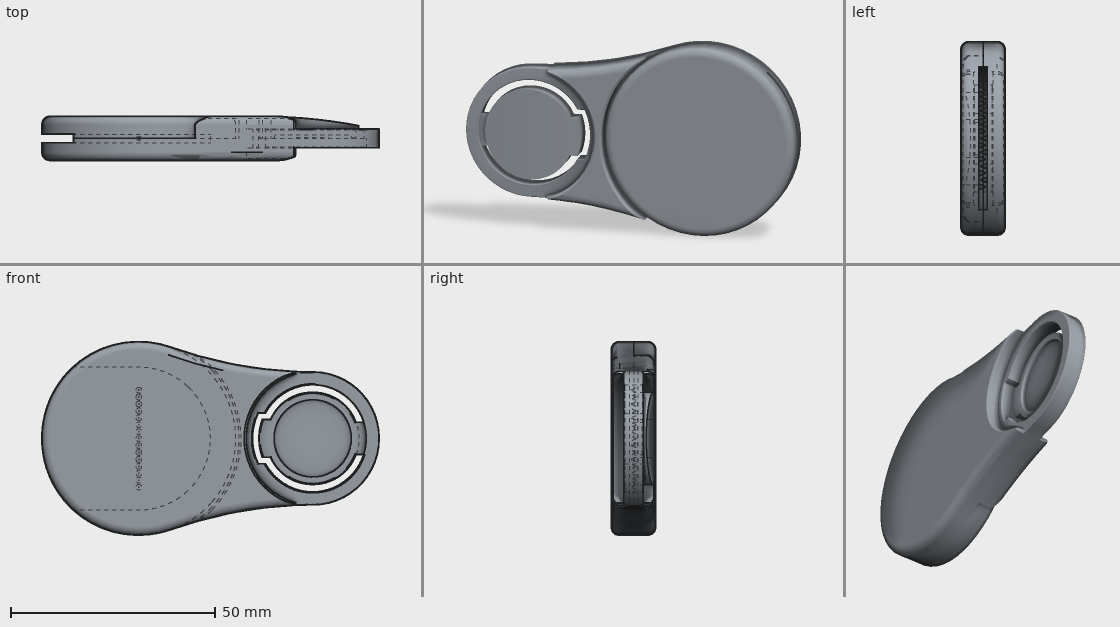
import cadquery as cq
import math


TOTAL_LENGTH = 82.53
THICKNESS = 10.83
HEAD_RADIUS = 47.36 / 2
RING_RADIUS = 16.28
EDGE_FILLET = 2.0
HALF_THICK = THICKNESS / 2
RING_X = TOTAL_LENGTH - HEAD_RADIUS - RING_RADIUS

FLANK_RADIUS = (RING_X**2 + RING_RADIUS**2 - HEAD_RADIUS**2) / (2 * (HEAD_RADIUS - RING_RADIUS))
FLANK_Z = RING_RADIUS + FLANK_RADIUS
FLANK_ANGLE = math.atan2(FLANK_Z, RING_X)

POCKET_RADIUS = 24.5

SLOT_RADIUS = 17.5
SLOT_WIDTH = 2.1
TOOTH_PITCH = 3.39
TOOTH_BASE_RADIUS = 0.7
TOOTH_TIP_RADIUS = 0.1
TOOTH_HEIGHT = 1.55
COVER_TEETH = 8
BODY_TEETH = COVER_TEETH - 1

RING_HALF_THICK = 2.35
SMALL_FILLET = 0.25
SHOULDER_RADIUS = RING_RADIUS
SHOULDER_TIP_X = 38.4
RIM_CHAMFER = 0.5
RING_HOLE_RADIUS = 13.1
NOTCH_RADIUS = 14.7
NOTCH_HALF_WIDTH = 6.2

BUTTON_RADIUS = 11.3
BUTTON_FRONT_Y = 0.0
CATCH_RADIUS = 13.15
CATCH_HALF_WIDTH = 4.66
HINGE_HALF_WIDTH = 4.0
HINGE_THICK = 2.0
BUTTON_BACK_RADIUS = 131.0
DISH_RADIUS = 9.45
DISH_DEPTH = 0.9


def plane_at(y):
    """Sketch plane facing +Y whose local axes are (X, -Z)."""
    return cq.Workplane(cq.Plane(origin=(0, y, 0), xDir=(1, 0, 0), normal=(0, 1, 0)))


def disc(x, radius, y_from, y_to):
    return plane_at(y_from).center(x, 0).circle(radius).extrude(y_to - y_from)


def block(x_from, x_to, half_width, y_from, y_to):
    size = (x_to - x_from, y_to - y_from, 2 * half_width)
    return cq.Workplane("XY").box(*size, centered=(False, False, True)).translate((x_from, y_from, 0))


def fob_blank():
    """Full pear-shaped outline with both faces rounded over."""
    head_end = (HEAD_RADIUS * math.cos(FLANK_ANGLE), HEAD_RADIUS * math.sin(FLANK_ANGLE))
    mid_angle = (FLANK_ANGLE + math.pi / 2) / 2
    flank_mid = (RING_X - FLANK_RADIUS * math.cos(mid_angle), FLANK_Z - FLANK_RADIUS * math.sin(mid_angle))
    return (
        plane_at(-HALF_THICK)
        .moveTo(RING_X, -RING_RADIUS)
        .threePointArc((RING_X + RING_RADIUS, 0), (RING_X, RING_RADIUS))
        .threePointArc(flank_mid, head_end)
        .threePointArc((-HEAD_RADIUS, 0), (head_end[0], -head_end[1]))
        .threePointArc((flank_mid[0], -flank_mid[1]), (RING_X, -RING_RADIUS))
        .close()
        .extrude(THICKNESS)
        .faces("<Y or >Y").edges().fillet(EDGE_FILLET)
    )


def cut_cover_pocket(blank):
    """Clear the back half of the head for the cover and break the outer rim of the pocket wall."""
    pocketed = blank.cut(disc(0, POCKET_RADIUS, 0, HALF_THICK))

    def on_pocket_wall(point):
        return math.isclose(math.hypot(point.x, point.z), POCKET_RADIUS, rel_tol=1e-4)

    def on_outer_rim(edge):
        above_floor = edge.Center().y > RIM_CHAMFER
        return above_floor and on_pocket_wall(edge.startPoint()) and on_pocket_wall(edge.endPoint())

    return pocketed.edges().filter(on_outer_rim).chamfer(RIM_CHAMFER)


def chamfer_shoulders(stepped):
    """Break the edges where the shoulder walls meet the flat faces, the round-over and the flanks."""
    tip_z = FLANK_Z - math.sqrt(FLANK_RADIUS**2 - (RING_X - SHOULDER_TIP_X) ** 2)
    tip_y = (RING_HALF_THICK + HALF_THICK - EDGE_FILLET) / 2
    rim = stepped.edges("%BSPLINE")
    for side in (-1, 1):
        wall_top = (RING_X - SHOULDER_RADIUS, side * HALF_THICK, 0)
        rim = rim.add(stepped.edges(cq.selectors.NearestToPointSelector(wall_top)))
        for tip in (-tip_z, tip_z):
            corner = (SHOULDER_TIP_X, side * tip_y, tip)
            rim = rim.add(stepped.edges(cq.selectors.NearestToPointSelector(corner)))
    return rim.chamfer(RIM_CHAMFER)


def cut_shoulders(rounded):
    """Step both faces down to the ring, leaving blunt, chamfered shoulder edges."""
    for y_from, y_to in ((-HALF_THICK, -RING_HALF_THICK), (RING_HALF_THICK, HALF_THICK)):
        step = disc(RING_X, SHOULDER_RADIUS, y_from, y_to)
        step = step.union(block(SHOULDER_TIP_X, TOTAL_LENGTH, HEAD_RADIUS, y_from, y_to))
        rounded = rounded.cut(step)
    return chamfer_shoulders(rounded)


def ring_hole():
    """Through hole with a wider notch facing the head."""
    hole = disc(RING_X, RING_HOLE_RADIUS, -HALF_THICK, HALF_THICK)
    notch = disc(RING_X, NOTCH_RADIUS, -HALF_THICK, HALF_THICK).intersect(
        block(RING_X - NOTCH_RADIUS, RING_X, NOTCH_HALF_WIDTH, -HALF_THICK, HALF_THICK)
    )
    return hole.union(notch)


def pierce_ring(solid):
    """Cut the ring hole and round its edges and the rim of the ring on both faces."""
    margin = 0.1
    pierced = solid.cut(ring_hole())
    for side in (-1, 1):
        y = side * RING_HALF_THICK
        hole_zone = cq.selectors.BoxSelector(
            (RING_X - NOTCH_RADIUS - margin, y - margin, -RING_HOLE_RADIUS - margin),
            (RING_X + RING_HOLE_RADIUS + margin, y + margin, RING_HOLE_RADIUS + margin),
            boundingbox=True,
        )
        rim_zone = cq.selectors.BoxSelector(
            (SHOULDER_TIP_X + margin, y - margin, -HEAD_RADIUS), (TOTAL_LENGTH, y + margin, HEAD_RADIUS)
        )
        pierced = pierced.edges(hole_zone).fillet(SMALL_FILLET)
        pierced = pierced.edges(rim_zone).fillet(SMALL_FILLET)
    return pierced


def button():
    """Dished button with a catch on the head side and a hinge joining it to the ring."""
    catch = disc(RING_X, CATCH_RADIUS, BUTTON_FRONT_Y, HALF_THICK).intersect(
        block(RING_X - CATCH_RADIUS, RING_X, CATCH_HALF_WIDTH, BUTTON_FRONT_Y, HALF_THICK)
    )
    pad = disc(RING_X, BUTTON_RADIUS, BUTTON_FRONT_Y, HALF_THICK).union(catch)
    back_curve = (
        cq.Workplane("XY")
        .center(RING_X - CATCH_RADIUS, HALF_THICK - BUTTON_BACK_RADIUS)
        .circle(BUTTON_BACK_RADIUS)
        .extrude(HEAD_RADIUS, both=True)
    )
    pad = pad.intersect(back_curve)
    dish = disc(RING_X, DISH_RADIUS, BUTTON_FRONT_Y, BUTTON_FRONT_Y + DISH_DEPTH)
    pad = pad.cut(dish)
    dish_floor = cq.selectors.NearestToPointSelector((RING_X, BUTTON_FRONT_Y + DISH_DEPTH, 0))
    pad = pad.faces(dish_floor).edges().fillet(SMALL_FILLET)
    pad = pad.faces("<Y").edges().fillet(SMALL_FILLET)
    hinge_start = RING_X + (DISH_RADIUS + BUTTON_RADIUS) / 2
    hinge_end = RING_X + (RING_HOLE_RADIUS + RING_RADIUS) / 2
    hinge_back_y = BUTTON_FRONT_Y + HINGE_THICK
    hinge = block(hinge_start, hinge_end, HINGE_HALF_WIDTH, BUTTON_FRONT_Y, hinge_back_y)
    return pad.union(hinge)


def slot():
    """Flat slot, open at the head end and rounded inside."""
    pocket = disc(0, SLOT_RADIUS, -SLOT_WIDTH / 2, SLOT_WIDTH / 2)
    mouth = block(-HEAD_RADIUS, 0, SLOT_RADIUS, -SLOT_WIDTH / 2, SLOT_WIDTH / 2)
    return pocket.union(mouth)


def teeth(count, side):
    """Row of cones standing on the slot wall on the given side (+1 or -1 in Y)."""
    row = []
    for index in range(count):
        z = (index - (count - 1) / 2) * TOOTH_PITCH
        wall = cq.Vector(0, side * SLOT_WIDTH / 2, z)
        row.append(
            cq.Solid.makeCone(TOOTH_BASE_RADIUS, TOOTH_TIP_RADIUS, TOOTH_HEIGHT, wall, cq.Vector(0, -side, 0))
        )
    return row


def add_teeth(solid, count, side):
    for tooth in teeth(count, side):
        solid = solid.union(cq.Workplane(tooth))
    return solid


body = cut_cover_pocket(cut_shoulders(fob_blank()))
body = body.cut(slot())
body = pierce_ring(body).union(button())
body = add_teeth(body, BODY_TEETH, -1)

cover = disc(0, HEAD_RADIUS, 0, HALF_THICK).faces(">Y").edges().fillet(EDGE_FILLET).cut(slot())
cover = add_teeth(cover, COVER_TEETH, 1)

result = cq.Compound.makeCompound([*body.vals(), *cover.vals()])